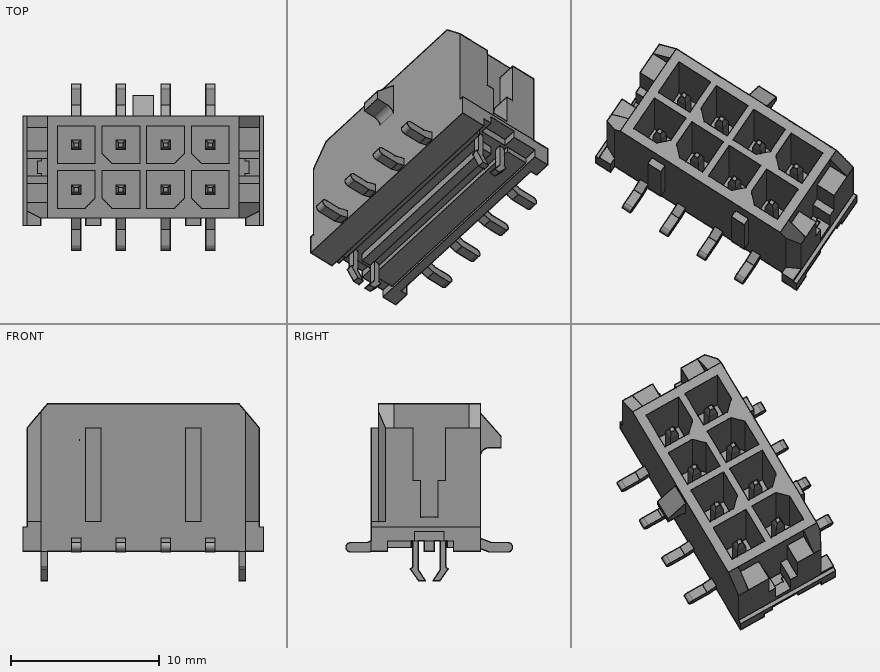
import cadquery as cq


top_z = 9.92
rear_y = 3.45
front_y = -3.4
foot_front_y = -3.91
core_half_x = 6.43
front_half_x = 6.88
end_half_x = 7.8
flange_half_x = 8.08
flange_top_z = 1.65
ledge_z = 2.0
shoulder_z = 8.28
corner_y = -2.94
web_rear_y = 2.68
web_front_y = -2.37

slot_half_wide = 1.1
slot_half_narrow = 0.58
slot_step_z = 4.75
slot_floor_z = 2.3
relief_half_width = 0.42
relief_inner_x = 6.83
relief_outer_x = 7.1
relief_depth = 0.32

notch_rear_y = 1.62
notch_front_y = -2.8
underside_z = 0.25
channel_half_width = 1.2
channel_top_z = 0.71
keel_half_width = 0.34
window_half_width = 1.0
window_top_z = 1.34

columns = 4
pitch = 3.0
cavity_size = 2.54
cavity_offset_y = 0.02
cavity_floor_z = ledge_z
cavity_corner = 0.68
pin_width = 0.65
pin_tip_width = 0.29
pin_tip_height = 0.97
pin_top_z = 7.91
tail_span = 11.2
tail_end_y = tail_span / 2
tail_radius = 0.32
tail_axis_z = 0.27
tail_bend_y = 4.18
tail_bend_shift = 0.16
tail_root_y = 3.07
tail_slope = 0.38

front_keying = (1, -1, 1, -1)
rear_keying = (0, -1, 1, -1)

rib_center_x = 3.36
rib_width = 1.03
latch_width = 1.4
latch_y = 4.83
latch_top_z = 9.27
latch_nose_z = 7.72
latch_bottom_z = 6.95
latch_root_y = 4.0
latch_root_z = 6.51

clip_inner_y = 0.73
clip_outer_y = 1.11
clip_barb_y = 1.28
clip_shoulder_z = -1.05
clip_barb_z = -1.18
clip_bend_z = -1.25
clip_end_z = -1.99
clip_tip_inner_y = 0.25
clip_tip_outer_y = 0.71

column_xs = [(i - (columns - 1) / 2) * pitch for i in range(columns)]


def box(x0, x1, y0, y1, z0, z1):
    """Box between opposite corners."""
    return cq.Workplane("XY").box(x1 - x0, y1 - y0, z1 - z0, centered=False).translate((x0, y0, z0))


def both_ends(shape):
    """The shape together with its mirror image at the other X end."""
    return shape.union(shape.mirror("YZ"))


def shell():
    """Outer body: bevelled silhouette, bevelled front corners, feet and flanges."""
    plan = (
        cq.Workplane("XY")
        .polyline([
            (-end_half_x, rear_y), (end_half_x, rear_y), (end_half_x, corner_y), (front_half_x, front_y),
            (-front_half_x, front_y), (-end_half_x, corner_y),
        ])
        .close()
        .extrude(top_z)
    )
    elevation = (
        cq.Workplane("XZ")
        .polyline([
            (-end_half_x, 0), (end_half_x, 0), (end_half_x, shoulder_z), (core_half_x, top_z),
            (-core_half_x, top_z), (-end_half_x, shoulder_z),
        ])
        .close()
        .extrude(rear_y - foot_front_y, both=True)
    )
    foot = box(front_half_x, end_half_x, foot_front_y, corner_y, 0, ledge_z)
    flange = box(end_half_x, flange_half_x, foot_front_y, rear_y, 0, flange_top_z)
    return plan.intersect(elevation).union(both_ends(foot.union(flange)))


def end_cutouts():
    """Recess between the top webs, stepped slot below it, and the relief in the slot floor."""
    recess = box(core_half_x, flange_half_x, web_front_y, web_rear_y, shoulder_z, top_z)
    wide = box(core_half_x, flange_half_x, -slot_half_wide, slot_half_wide, slot_step_z, shoulder_z)
    narrow = box(core_half_x, flange_half_x, -slot_half_narrow, slot_half_narrow, slot_floor_z, slot_step_z)
    relief_z = slot_floor_z - relief_depth
    relief = box(core_half_x, relief_inner_x, -slot_half_narrow, slot_half_narrow, relief_z, slot_floor_z)
    relief_tab = box(core_half_x, relief_outer_x, -relief_half_width, relief_half_width, relief_z, slot_floor_z)
    return both_ends(recess.union(wide).union(narrow).union(relief).union(relief_tab))


def underside_cutouts():
    """Raised underside, channel along X with a central keel, and the windows in the flanges."""
    raised = box(-flange_half_x, flange_half_x, notch_front_y, notch_rear_y, 0, underside_z)
    channel = box(-flange_half_x, flange_half_x, -channel_half_width, channel_half_width, 0, channel_top_z)
    keel = box(-core_half_x, core_half_x, -keel_half_width, keel_half_width, 0, channel_top_z)
    end_notch = box(relief_outer_x, flange_half_x, notch_front_y, notch_rear_y, 0, channel_top_z)
    window = box(relief_outer_x, flange_half_x, -window_half_width, window_half_width, 0, window_top_z)
    return raised.union(channel).cut(keel).union(both_ends(end_notch.union(window)))


def cavity(x, y, key_side):
    """Square contact cavity, with one front corner cut off on the key side."""
    half = cavity_size / 2
    hole = box(x - half, x + half, y - half, y + half, cavity_floor_z, top_z)
    if key_side:
        corner_x = x + key_side * half
        corner = (
            cq.Workplane("XY")
            .workplane(offset=cavity_floor_z)
            .polyline([
                (corner_x, y - half),
                (corner_x - key_side * cavity_corner, y - half),
                (corner_x, y - half + cavity_corner),
            ])
            .close()
            .extrude(top_z - cavity_floor_z)
        )
        hole = hole.cut(corner)
    return hole


def pin(x, y):
    """Square contact pin with a tapered tip, rooted in the cavity floor."""
    neck_z = pin_top_z - pin_tip_height
    root_z = (channel_top_z + cavity_floor_z) / 2
    half = pin_width / 2
    shaft = box(x - half, x + half, y - half, y + half, root_z, neck_z)
    tip = (
        cq.Workplane("XY", origin=(x, y, neck_z))
        .rect(pin_width, pin_width)
        .workplane(offset=pin_tip_height)
        .rect(pin_tip_width, pin_tip_width)
        .loft(ruled=True)
    )
    return shaft.union(tip)


def tail(x, side):
    """Solder tail: slopes down out of the wall, then runs flat to a rounded end."""
    upper_z = tail_axis_z + tail_radius
    lower_z = tail_axis_z - tail_radius
    lower_bend_y = tail_bend_y - tail_bend_shift
    round_y = tail_end_y - tail_radius
    return (
        cq.Workplane("YZ", origin=(x - pin_width / 2, 0, 0))
        .moveTo(side * tail_root_y, upper_z + (tail_bend_y - tail_root_y) * tail_slope)
        .lineTo(side * tail_bend_y, upper_z)
        .lineTo(side * round_y, upper_z)
        .threePointArc((side * tail_end_y, tail_axis_z), (side * round_y, lower_z))
        .lineTo(side * lower_bend_y, lower_z)
        .lineTo(side * tail_root_y, lower_z + (lower_bend_y - tail_root_y) * tail_slope)
        .close()
        .extrude(pin_width)
    )


def front_rib(center_x):
    """Upright rib on the front wall."""
    half = rib_width / 2
    return box(center_x - half, center_x + half, foot_front_y, front_y, ledge_z, shoulder_z)


def latch():
    """Latch ramp on the rear wall, with a hollow rounded underside at the wall."""
    return (
        cq.Workplane("YZ", origin=(-latch_width / 2, 0, 0))
        .moveTo(rear_y, latch_top_z)
        .lineTo(latch_y, latch_nose_z)
        .lineTo(latch_y, latch_bottom_z)
        .lineTo(latch_root_y, latch_bottom_z)
        .tangentArcPoint((rear_y, latch_root_z), relative=False)
        .close()
        .extrude(latch_width)
    )


def clip_leg():
    """Sprung board-clip leg on the +Y side, with a barb and an inward tip."""
    return (
        cq.Workplane("YZ", origin=(core_half_x, 0, 0))
        .polyline([
            (clip_inner_y, window_top_z), (clip_outer_y, window_top_z), (clip_outer_y, clip_shoulder_z),
            (clip_barb_y, clip_barb_z), (clip_tip_outer_y, clip_end_z), (clip_tip_inner_y, clip_end_z),
            (clip_inner_y, clip_bend_z),
        ])
        .close()
        .extrude(front_half_x - core_half_x)
    )


result = shell().cut(end_cutouts()).cut(underside_cutouts())

for row_side, keying in ((-1, front_keying), (1, rear_keying)):
    row_y = row_side * pitch / 2
    for column_x, key in zip(column_xs, keying):
        result = result.cut(cavity(column_x, row_y + cavity_offset_y, key))
        result = result.union(pin(column_x, row_y))
        result = result.union(tail(column_x, row_side))

result = result.union(both_ends(front_rib(rib_center_x))).union(latch())

leg = clip_leg()
result = result.union(both_ends(leg.union(leg.mirror("XZ"))))